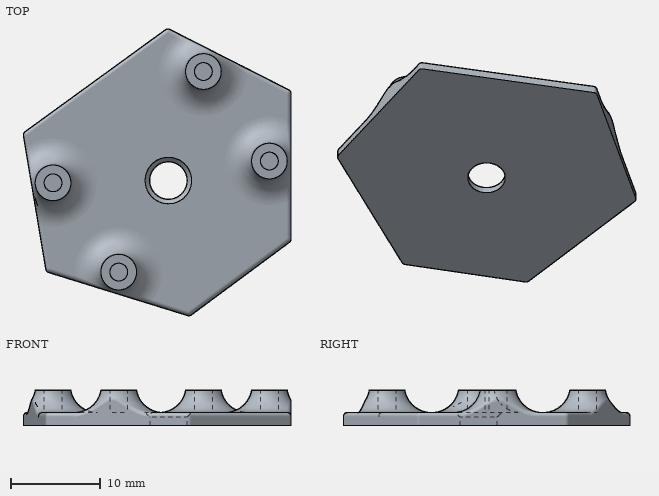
import cadquery as cq
import math

plate_thickness = 1.48
total_height = 4.0
outline = [
    (-0.1, 17.1),
    (13.78, 10.05),
    (13.78, -6.8),
    (2.38, -15.23),
    (-13.7, -10.25),
    (-16.32, 5.3),
]
edge_radius = 0.48

hole_diameter = 4.2
countersink_diameter = 5.2
countersink_depth = (countersink_diameter - hole_diameter) / 2

boss_centres = [(3.93, 12.23), (11.33, 2.2), (-5.57, -10.27), (-12.95, -0.25)]
flare_radius = 3.0
foot_radius = 4.95
pilot_diameter = 2.0
pilot_depth = total_height - plate_thickness


def flare_reach(height):
    """Radius of the boss at a height above the plate."""
    drop = flare_radius - height
    return foot_radius - math.sqrt(flare_radius**2 - drop**2)


def make_boss(centre):
    """Solid of revolution whose side is a concave arc tangent to the plate."""
    boss_height = total_height - plate_thickness
    middle_height = boss_height / 3
    profile = (
        cq.Workplane("XZ")
        .lineTo(foot_radius, 0)
        .lineTo(foot_radius, plate_thickness)
        .threePointArc(
            (flare_reach(middle_height), plate_thickness + middle_height),
            (flare_reach(boss_height), total_height),
        )
        .lineTo(0, total_height)
        .close()
    )
    return profile.revolve(360, (0, 0, 0), (0, 1, 0)).translate((*centre, 0))


def make_prism(height):
    """Upright block over the outline with rounded corners."""
    return cq.Workplane("XY").polyline(outline).close().extrude(height).edges("|Z").fillet(edge_radius)


body = make_prism(plate_thickness)
for centre in boss_centres:
    body = body.union(make_boss(centre))
body = body.intersect(make_prism(total_height))


def contains(edges, edge):
    """True when the edge is one of the edges."""
    return any(edge.isSame(other) for other in edges)


def shares_edge(face, edges):
    """True when the face is bounded by one of the edges."""
    return any(contains(edges, edge) for edge in face.Edges())


def upper_rim(solid):
    """Edges bounding the side walls from above, where walls meet the plate top or a boss."""
    base_edges = solid.faces("<Z").edges().vals()
    walls = [face for face in solid.faces("not(<Z)").vals() if shares_edge(face, base_edges)]
    wall_edges = [edge for wall in walls for edge in wall.Edges()]
    outer = [edge for edge in wall_edges if not contains(base_edges, edge)]
    return [edge for edge in outer if sum(edge.isSame(other) for other in outer) == 1]


body = body.newObject(upper_rim(body)).fillet(edge_radius)

body = body.cut(cq.Workplane("XY").circle(hole_diameter / 2).extrude(plate_thickness))
countersink = cq.Solid.makeCone(
    hole_diameter / 2,
    countersink_diameter / 2,
    countersink_depth,
    pnt=cq.Vector(0, 0, plate_thickness - countersink_depth),
)
body = body.cut(cq.Workplane(countersink))

pilots = (
    cq.Workplane("XY")
    .workplane(offset=total_height - pilot_depth)
    .pushPoints(boss_centres)
    .circle(pilot_diameter / 2)
    .extrude(pilot_depth)
)
result = body.cut(pilots)